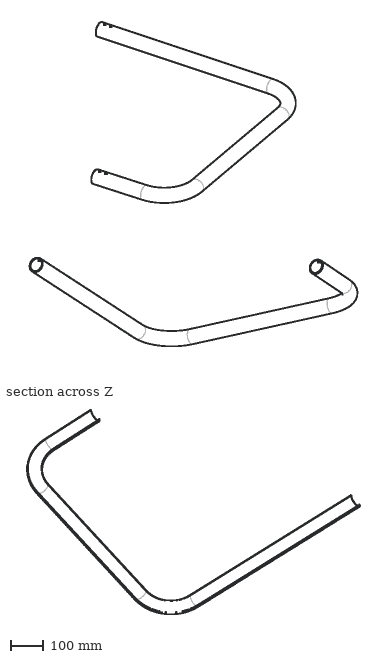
import cadquery as cq
import math

length_x = 774.0
width_y = 798.0
tube_diameter = 49.0
wall = 4.0
bend_radius = 120.0
splay_angle = 0.4
short_leg_end_x = 450.0
short_end_chamfer = 1.5
hole_diameter = 6.0
hole_offsets = (18.0, 41.0)

tube_radius = tube_diameter / 2
bore_radius = tube_radius - wall
splay = math.radians(splay_angle)
spine_x = length_x - tube_radius
bend_center_x = spine_x - bend_radius
leg_start_x = bend_center_x + bend_radius * math.sin(splay)

long_direction = (-math.cos(splay), math.sin(splay))
short_direction = (-math.cos(splay), -math.sin(splay))

end_lead = tube_radius * math.sin(splay)
long_leg_length = (leg_start_x - end_lead) / math.cos(splay)
short_leg_length = (leg_start_x - short_leg_end_x - end_lead) / math.cos(splay)


def bend_center_y(leg_length):
    """Distance from the middle of the Y extent to a bend center."""
    outer_edge = width_y / 2 - tube_radius * math.cos(splay)
    return outer_edge - leg_length * math.sin(splay) - bend_radius * math.cos(splay)


long_bend_y = bend_center_y(long_leg_length)
short_bend_y = -bend_center_y(short_leg_length)


def bend_point(center_y, angle):
    """Point of a bend's axis, at an angle from +X about its center."""
    return (bend_center_x + bend_radius * math.cos(angle), center_y + bend_radius * math.sin(angle))


def along(point, direction, distance):
    return (point[0] + direction[0] * distance, point[1] + direction[1] * distance)


bend_end_angle = math.pi / 2 - splay
long_leg_start = bend_point(long_bend_y, bend_end_angle)
short_leg_start = bend_point(short_bend_y, -bend_end_angle)
long_end = along(long_leg_start, long_direction, long_leg_length)
short_end = along(short_leg_start, short_direction, short_leg_length)

axis = (
    cq.Workplane("XY")
    .moveTo(*long_end)
    .lineTo(*long_leg_start)
    .threePointArc(bend_point(long_bend_y, bend_end_angle / 2), (spine_x, long_bend_y))
    .lineTo(spine_x, short_bend_y)
    .threePointArc(bend_point(short_bend_y, -bend_end_angle / 2), short_leg_start)
    .lineTo(*short_end)
)


def swept_tube():
    start_plane = cq.Plane(
        origin=(*long_end, 0),
        xDir=(0, 0, 1),
        normal=(-long_direction[0], -long_direction[1], 0),
    )
    return cq.Workplane(start_plane).circle(tube_radius).circle(bore_radius).sweep(axis)


def chamfer_outer_rim(body, end, size):
    """Chamfer the outer circle of the end face centered on a point."""
    face = cq.selectors.NearestToPointSelector((*end, 0))
    rim = cq.selectors.RadiusNthSelector(-1)
    return body.faces(face).edges(rim).chamfer(size)


def drill_holes(body, end, direction):
    """Drill the row of holes through the top wall at one open end."""
    for offset in hole_offsets:
        center = along(end, direction, -offset)
        drill = cq.Workplane("XY").center(*center).circle(hole_diameter / 2).extrude(tube_diameter)
        body = body.cut(drill)
    return body


tube = swept_tube()
tube = chamfer_outer_rim(tube, short_end, short_end_chamfer)
tube = drill_holes(tube, long_end, long_direction)
result = drill_holes(tube, short_end, short_direction)